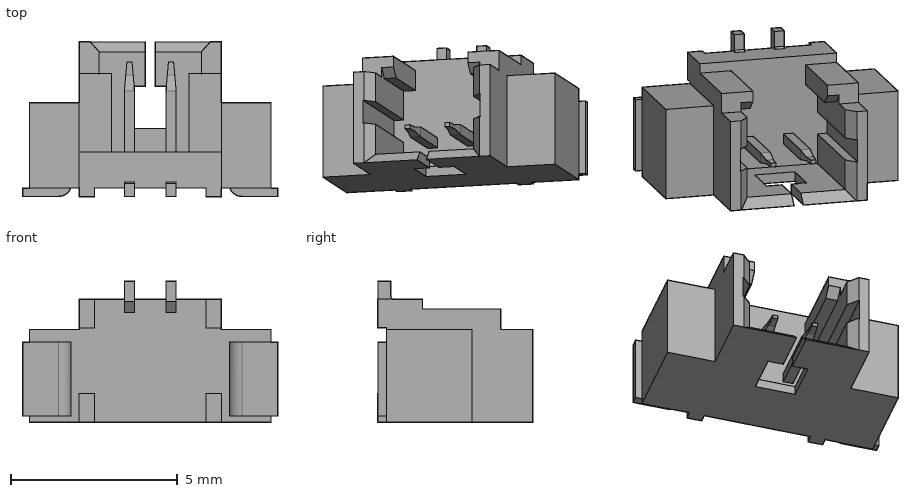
import cadquery as cq


body_depth = 4.39
shell_width = 4.27
shell_height = 2.785
wing_width = 7.25
wing_depth = 2.56
bridge_height = 3.69
bridge_depth = 1.09
rail_height = 3.4
rail_end = 3.435
rail_inner_x = 1.16

cavity_width = 3.06
floor_height = 0.3
mouth_depth = 0.305
mouth_flare = 0.305
mouth_side_flare = 0.275
rail_chamfer = 0.28
groove_bottom = 1.22
groove_top = 1.905
groove_depth = 0.3

window_start = 1.79
window_end = 3.05
slot_width = 0.29

standoff = 0.26
foot_thickness = 0.25
pad_width = 0.47
pad_height = 0.86
foot_outer_x = 3.825
foot_flat_x = 2.75
foot_inner_x = 2.38
foot_bottom = 0.18
foot_top = 2.4

pin_pitch = 1.25
pin_width = 0.305
pin_center_z = 1.15
pin_taper_start = 2.915
pin_slope_end = 3.4
pin_tip = 3.79
pin_tip_width = 0.15
pin_tip_height = 0.115
tail_top = 4.23
tail_front = foot_thickness
tail_front_bottom = 3.625
tail_root = 3.3
tail_back = 0.14
tail_bend_height = 3.75
tail_bend_back = 0.18


def block(x0, x1, y0, y1, z0, z1):
    """Axis-aligned box between two opposite corners."""
    return cq.Workplane("XY").box(x1 - x0, y1 - y0, z1 - z0, centered=False).translate((x0, y0, z0))


def centred_block(width, y0, y1, z0, z1):
    """Box symmetric about the YZ plane."""
    return block(-width / 2, width / 2, y0, y1, z0, z1)


def side_profile(points, width):
    """Extrude a (Y, Z) outline along X, symmetric about the YZ plane."""
    outline = cq.Workplane("YZ").polyline(points).close()
    return outline.extrude(width / 2, both=True)


def plan_profile(points, z0, z1):
    """Extrude an (X, Y) outline from z0 up to z1."""
    return cq.Workplane("XY").workplane(offset=z0).polyline(points).close().extrude(z1 - z0)


def both_sides(solid):
    """Join a solid with its mirror image in the YZ plane."""
    return solid.union(solid.mirror("YZ"))


def make_housing():
    stepped_side = [
        (0, 0),
        (body_depth, 0),
        (body_depth, shell_height),
        (rail_end, shell_height),
        (rail_end, rail_height),
        (bridge_depth, rail_height),
        (bridge_depth, bridge_height),
        (0, bridge_height),
    ]
    shell = side_profile(stepped_side, shell_width)
    wings = centred_block(wing_width, 0, wing_depth, 0, shell_height)
    return shell.union(wings)


def make_cavity():
    cavity = centred_block(cavity_width, bridge_depth, body_depth, floor_height, shell_height)
    rail_gap = centred_block(2 * rail_inner_x, bridge_depth, body_depth, floor_height, bridge_height)
    groove_width = cavity_width + 2 * groove_depth
    grooves = centred_block(groove_width, bridge_depth, body_depth, groove_bottom, groove_top)
    return cavity.union(rail_gap).union(grooves)


def make_mouth_flare():
    mouth_start = body_depth - mouth_depth
    half = cavity_width / 2
    flared_half = half + mouth_side_flare
    mouth_bottom = floor_height - mouth_flare
    floor_slope = side_profile(
        [
            (mouth_start, floor_height),
            (body_depth, mouth_bottom),
            (body_depth, shell_height),
            (mouth_start, shell_height),
        ],
        shell_width,
    )
    side_slopes = plan_profile(
        [
            (half, mouth_start),
            (flared_half, body_depth),
            (-flared_half, body_depth),
            (-half, mouth_start),
        ],
        mouth_bottom,
        shell_height,
    )
    rail_slope = side_profile(
        [
            (rail_end - rail_chamfer, shell_height),
            (rail_end, shell_height),
            (rail_end, shell_height + rail_chamfer),
        ],
        cavity_width,
    )
    return floor_slope.intersect(side_slopes).union(rail_slope)


def make_floor_openings():
    window = centred_block(pin_pitch, window_start, window_end, 0, floor_height)
    slot = centred_block(slot_width, window_end, body_depth, 0, floor_height)
    return window.union(slot)


def make_pads():
    outer_x = shell_width / 2
    lower = block(outer_x - pad_width, outer_x, -standoff, 0, 0, pad_height)
    upper = block(outer_x - pad_width, outer_x, -standoff, 0, bridge_height - pad_height, bridge_height)
    return both_sides(lower.union(upper))


def make_feet():
    run = foot_flat_x - foot_inner_x
    bend_radius = (run**2 + foot_thickness**2) / (2 * foot_thickness)
    foot = (
        cq.Workplane("XY")
        .workplane(offset=foot_bottom)
        .moveTo(foot_inner_x, 0)
        .lineTo(foot_outer_x, 0)
        .lineTo(foot_outer_x, -foot_thickness)
        .lineTo(foot_flat_x, -foot_thickness)
        .radiusArc((foot_inner_x, 0), bend_radius)
        .close()
        .extrude(foot_top - foot_bottom)
    )
    return both_sides(foot)


def make_pin(x):
    half = pin_width / 2
    tip_half = pin_tip_height / 2
    blade = side_profile(
        [
            (bridge_depth, pin_center_z - half),
            (pin_taper_start, pin_center_z - half),
            (pin_slope_end, pin_center_z - tip_half),
            (pin_tip, pin_center_z - tip_half),
            (pin_tip, pin_center_z + tip_half),
            (pin_slope_end, pin_center_z + tip_half),
            (pin_taper_start, pin_center_z + half),
            (bridge_depth, pin_center_z + half),
        ],
        pin_width,
    )
    taper = plan_profile(
        [
            (-half, bridge_depth),
            (half, bridge_depth),
            (half, pin_taper_start),
            (pin_tip_width / 2, pin_tip),
            (-pin_tip_width / 2, pin_tip),
            (-half, pin_taper_start),
        ],
        0,
        shell_height,
    )
    tail = side_profile(
        [
            (0, tail_root),
            (-tail_front, tail_front_bottom),
            (-tail_front, tail_top),
            (tail_back, tail_top),
            (tail_back, tail_bend_height),
            (tail_bend_back, bridge_height),
            (tail_bend_back, tail_root),
        ],
        pin_width,
    )
    return blade.intersect(taper).union(tail).translate((x, 0, 0))


result = make_housing().cut(make_cavity()).cut(make_mouth_flare()).cut(make_floor_openings())
result = result.union(make_pads()).union(make_feet())
for pin_x in (-pin_pitch / 2, pin_pitch / 2):
    result = result.union(make_pin(pin_x))